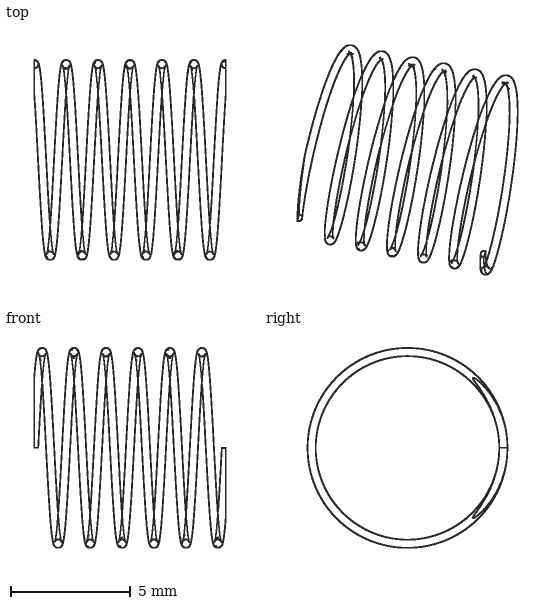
import cadquery as cq

spring_length = 8.0
mean_diameter = 8.0
wire_diameter = 0.35
turns = 6

coil_radius = mean_diameter / 2
wire_radius = wire_diameter / 2
outer_diameter = mean_diameter + wire_diameter
pitch = spring_length / turns

axis_swap_angle = 120


def coil_wire():
    """Round wire swept along a right-handed helix about +X, starting on the +Y side."""
    helix = cq.Wire.makeHelix(pitch, spring_length, coil_radius)
    helix = helix.rotate(cq.Vector(0, 0, 0), cq.Vector(1, 1, 1), axis_swap_angle)
    profile = cq.Workplane("XY").center(0, coil_radius).circle(wire_radius)
    return profile.sweep(cq.Workplane(obj=helix), isFrenet=True)


def ground_envelope():
    """Block between the two flat-ground end planes, wider than the coil."""
    side = 2 * outer_diameter
    return cq.Workplane("XY").box(spring_length, side, side, centered=(False, True, True))


spring = coil_wire().intersect(ground_envelope())
result = cq.Workplane(obj=spring.solids().val())